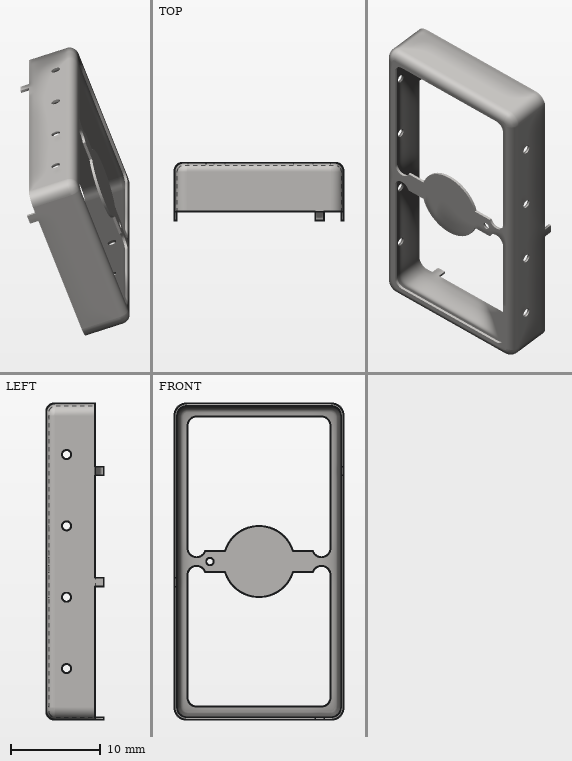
import cadquery as cq

width = 19.0
height = 35.5
depth = 5.5
wall = 0.3
corner_radius = 1.4
floor_edge_radius = 1.0

floor_border = 1.5
window_corner_radius = 1.0
bridge_height = 2.4
pad_diameter = 8.0
neck_height = 1.0
neck_notch_radius = 1.0
bridge_hole_diameter = 0.8
bridge_hole_x = -5.5

side_hole_diameter = 1.0
side_hole_count = 4
side_hole_spacing = 8.0
side_hole_from_floor = 2.3

tab_width = 1.0
tab_length = 1.0
left_tab_z = -2.3
right_tab_z = 10.15
bottom_tab_x = 6.8

rim_y = -depth
window_width = width - 2 * floor_border
window_height = height - 2 * floor_border


def rounded_block(size_x, size_z, length, corner, edge):
    """Block from the rim plane toward +Y, rounded at its corners and at its +Y edge."""
    block = cq.Workplane("XY").box(size_x, length, size_z).translate((0, rim_y + length / 2, 0))
    return block.edges("|Y").fillet(corner).faces(">Y").edges().fillet(edge)


def floor_prism(outline):
    """Extrude an outline on the outer floor face through the floor thickness."""
    return outline.extrude(wall)


def make_shell():
    outer = rounded_block(width, height, depth, corner_radius, floor_edge_radius)
    cavity = rounded_block(
        width - 2 * wall,
        height - 2 * wall,
        depth - wall,
        corner_radius - wall,
        floor_edge_radius - wall,
    )
    return outer.cut(cavity)


def make_window_opening():
    opening = floor_prism(cq.Workplane("XZ").rect(window_width, window_height))
    return opening.edges("|Y").fillet(window_corner_radius)


def make_bridge():
    """Bar across the opening with a round pad, a hole and a notched neck at each end."""
    bar = floor_prism(cq.Workplane("XZ").rect(window_width, bridge_height))
    notch_x = window_width / 2 - neck_notch_radius
    notch_z = neck_height / 2 + neck_notch_radius
    end_blocks = floor_prism(
        cq.Workplane("XZ")
        .pushPoints([(side * (window_width - neck_notch_radius) / 2, 0) for side in (-1, 1)])
        .rect(neck_notch_radius, 2 * notch_z)
    )
    notches = floor_prism(
        cq.Workplane("XZ")
        .pushPoints([(i * notch_x, j * notch_z) for i in (-1, 1) for j in (-1, 1)])
        .circle(neck_notch_radius)
    )
    pad = floor_prism(cq.Workplane("XZ").circle(pad_diameter / 2))
    hole = floor_prism(cq.Workplane("XZ").center(bridge_hole_x, 0).circle(bridge_hole_diameter / 2))
    return bar.union(end_blocks).cut(notches).union(pad).cut(hole)


def make_side_holes():
    first_z = -side_hole_spacing * (side_hole_count - 1) / 2
    centres = [(-side_hole_from_floor, first_z + i * side_hole_spacing) for i in range(side_hole_count)]
    return cq.Workplane("YZ").pushPoints(centres).circle(side_hole_diameter / 2).extrude(width / 2, both=True)


def make_tab(x, z, size_x, size_z):
    """Tab that extends the wall beyond the rim."""
    return cq.Workplane("XZ", origin=(0, rim_y, 0)).center(x, z).rect(size_x, size_z).extrude(tab_length)


side_wall_x = (width - wall) / 2
bottom_wall_z = -(height - wall) / 2

result = (
    make_shell()
    .cut(make_window_opening())
    .union(make_bridge())
    .cut(make_side_holes())
    .union(make_tab(-side_wall_x, left_tab_z, wall, tab_width))
    .union(make_tab(side_wall_x, right_tab_z, wall, tab_width))
    .union(make_tab(bottom_tab_x, bottom_wall_z, tab_width, wall))
)